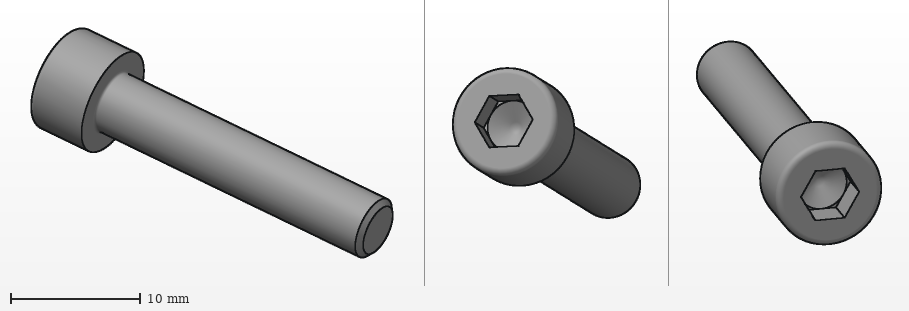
import cadquery as cq
import math

total_length = 30.0
head_diameter = 8.5
head_length = total_length / 6
head_edge_radius = 0.5
shank_diameter = head_length
neck_radius = 0.2
tip_chamfer_length = 0.42
tip_chamfer_depth = 0.48
hex_across_flats = 4.05
hex_depth = head_length / 2
socket_cone_angle = 120.0

head_face_x = -head_length
tip_x = total_length - head_length


def make_body():
    """Revolve the half profile of head and shank about the X axis."""
    head_radius = head_diameter / 2
    shank_radius = shank_diameter / 2
    diagonal = math.sqrt(0.5)
    head_arc_middle = (
        head_face_x + head_edge_radius * (1 - diagonal),
        head_radius - head_edge_radius * (1 - diagonal),
    )
    neck_arc_middle = (
        neck_radius * (1 - diagonal),
        shank_radius + neck_radius * (1 - diagonal),
    )
    profile = (
        cq.Workplane("XY")
        .moveTo(head_face_x, 0)
        .lineTo(head_face_x, head_radius - head_edge_radius)
        .threePointArc(head_arc_middle, (head_face_x + head_edge_radius, head_radius))
        .lineTo(0, head_radius)
        .lineTo(0, shank_radius + neck_radius)
        .threePointArc(neck_arc_middle, (neck_radius, shank_radius))
        .lineTo(tip_x - tip_chamfer_length, shank_radius)
        .lineTo(tip_x, shank_radius - tip_chamfer_depth)
        .lineTo(tip_x, 0)
        .close()
    )
    return profile.revolve(360, (0, 0, 0), (1, 0, 0))


def make_socket():
    """Hexagonal socket with flats facing +Z and -Z and a conical bottom."""
    hexagon = (
        cq.Workplane("YZ", origin=(head_face_x, 0, 0))
        .polygon(6, hex_across_flats / math.cos(math.pi / 6))
        .extrude(hex_depth)
    )
    cone_radius = hex_across_flats / 2
    cone_height = cone_radius / math.tan(math.radians(socket_cone_angle / 2))
    cone_base = cq.Vector(head_face_x + hex_depth, 0, 0)
    cone = cq.Solid.makeCone(cone_radius, 0, cone_height, cone_base, cq.Vector(1, 0, 0))
    return hexagon.union(cq.Workplane(obj=cone))


result = make_body().cut(make_socket())